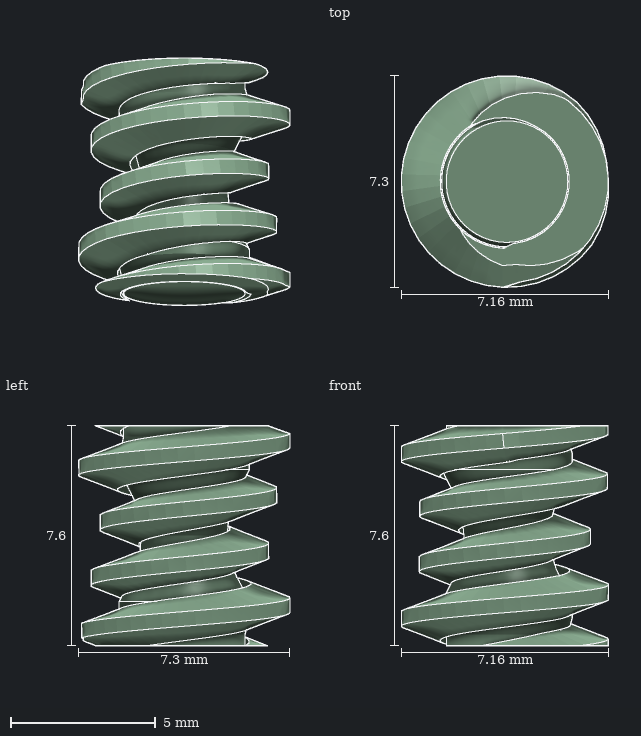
import cadquery as cq
import math

LENGTH = 7.6
MODULE = 0.6
PRESSURE_ANGLE = 20.0
REFERENCE_R = 2.9
THROAT_R = 2.29
MAX_R = 3.055
THROAT_ARC_R = 3.3
CORE_CLEARANCE = 0.05

ADDENDUM = MODULE
DEDENDUM = 1.25 * MODULE
PITCH_LINE_WIDTH = math.pi * MODULE / 2
FLANK_SLOPE = math.tan(math.radians(PRESSURE_ANGLE))
CREST_HALF_WIDTH = PITCH_LINE_WIDTH / 2 - ADDENDUM * FLANK_SLOPE
ROOT_HALF_WIDTH = PITCH_LINE_WIDTH / 2 + DEDENDUM * FLANK_SLOPE

REFERENCE_LEAD_ANGLE = math.asin(MODULE / (2 * REFERENCE_R))
AXIAL_PITCH = math.pi * MODULE / math.cos(REFERENCE_LEAD_ANGLE)
HELIX_Z0 = -0.03
STATION_STEP = 0.4895
THREAD_REACH = LENGTH / 2 + 2 * ROOT_HALF_WIDTH
FADE_START = 4.1
FADE_RATE = 0.6

CORE_BLANK_LENGTH = 1.5 * LENGTH
CORE_STEPS = 20


def pitch_radius(z):
    """Pitch radius of the hourglass at height z."""
    if abs(z) >= THROAT_ARC_R:
        return REFERENCE_R
    arc_rise = THROAT_ARC_R - math.sqrt(THROAT_ARC_R**2 - z**2)
    return min(THROAT_R + arc_rise, MAX_R)


def lead_angle(z):
    """Lead angle of the helix on the pitch radius at height z."""
    return math.atan(AXIAL_PITCH / (2 * math.pi * pitch_radius(z)))


def make_core():
    """Stack of straight cones that follows the thread root."""
    step = CORE_BLANK_LENGTH / CORE_STEPS
    heights = [step * (i - CORE_STEPS / 2) for i in range(CORE_STEPS + 1)]
    outline = [(pitch_radius(z) - DEDENDUM - CORE_CLEARANCE, z) for z in heights]
    outline = [(0, heights[0])] + outline + [(0, heights[-1])]
    return cq.Workplane("XZ").polyline(outline).close().revolve(360, (0, 0), (0, 1))


def station_heights(direction):
    """Heights of equally spaced helix stations, from the middle up (+1) or down (-1)."""
    heights = [HELIX_Z0]
    while abs(heights[-1]) < THREAD_REACH:
        rise = STATION_STEP * math.sin(lead_angle(heights[-1]))
        heights.append(heights[-1] + direction * rise)
    return heights


def tooth_section(z):
    """Trapezoid tooth wire, normal to the helix at height z."""
    angle = 2 * math.pi * (z - HELIX_Z0) / AXIAL_PITCH
    lead = lead_angle(z)
    radial = cq.Vector(math.cos(angle), math.sin(angle), 0)
    tangent = cq.Vector(-math.sin(angle), math.cos(angle), 0)
    axis = cq.Vector(0, 0, 1)
    across = axis * math.cos(lead) - tangent * math.sin(lead)
    centre = radial * pitch_radius(z) + axis * z
    scale = 1 - FADE_RATE * max(0, abs(z) - FADE_START)
    corners = [
        (-DEDENDUM, -ROOT_HALF_WIDTH),
        (ADDENDUM, -CREST_HALF_WIDTH),
        (ADDENDUM, CREST_HALF_WIDTH),
        (-DEDENDUM, ROOT_HALF_WIDTH),
    ]
    points = [centre + (radial * depth + across * offset) * scale for depth, offset in corners]
    return cq.Wire.makePolygon(points, close=True)


def make_thread():
    """Right-handed thread as straight segments between tooth sections."""
    lower = station_heights(-1)
    upper = station_heights(1)
    heights = lower[:0:-1] + upper
    sections = [tooth_section(z) for z in heights]
    return cq.Workplane(cq.Solid.makeLoft(sections, ruled=True))


def trim_to_length(body):
    """Cut a body square at both ends of the part."""
    side = 3 * MAX_R
    return body.intersect(cq.Workplane().box(side, side, LENGTH))


result = trim_to_length(make_core()).union(trim_to_length(make_thread()))